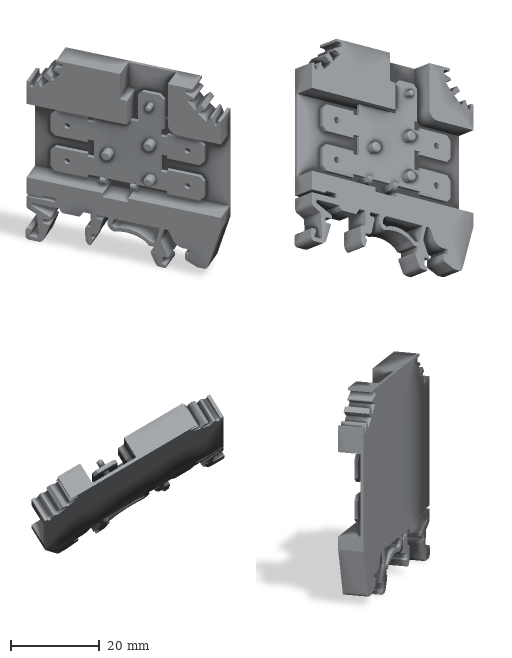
import cadquery as cq
import math

depth = 6.0
height = 49.55
half_width = 23.5
hook_reach = 23.75

wall = 0.7
wall_front = depth - wall
wall_middle = depth - wall / 2
rail_top = 16.6
block_bottom = 36.35
slot_left = 0.75
slot_right = 10.65
slot_relief_left = -0.9
slot_relief_bottom = 42.75
slot_relief_radius = 0.5
block_corner_radius = 2.35

notch_left = -5.05
notch_right = 1.05
notch_depth = 1.05
notch_radius = 0.35

plate_front = 2.2
plate_thickness = 0.9
plate_back = plate_front + plate_thickness
web_thickness = 0.75
web_back = plate_front + web_thickness
tab_width = 6.35
tab_corner = 1.05
tab_neck = 9.65
tab_reach = 18.55
tab_hole_x = 14.5
tab_hole_diameter = 1.5
tab_pitch = 9.45
right_tab_z = 21.75
left_tab_z = 21.65
shoulder = 0.75
web_half_width = 8.1
web_bottom = right_tab_z - tab_width / 2 + shoulder
upright_x = 5.75
upright_width = 6.2
upright_top = 44.55
upright_shoulder_z = 35.7
ledge_thickness = 0.7

pin_diameter = 2.5
pin_tip_radius = 0.55
small_pin_diameter = 1.5
small_pin_tip_radius = 0.4
small_pin_z = 41.5
flare = 0.5
upper_pin_z = 31.25
side_pin_x = -4.4
side_pin_z = 26.45

left_lip = 16.35
right_lip = 16.6

clip_width = 1.35
clip_lefts = (-6.3, notch_right)


def front_sketch(y):
    """Sketch plane parallel to the front face at the given Y."""
    return cq.Workplane("XZ", origin=(0, y, 0))


def prism(outline, length):
    """Extrude a front-plane outline backwards, towards +Y."""
    return outline.extrude(-length)


def box(x0, x1, y0, y1, z0, z1):
    return cq.Workplane("XY").box(x1 - x0, y1 - y0, z1 - z0, centered=False).translate((x0, y0, z0))


def upper_half(side, lip):
    """Upper body on one side (-1 left, +1 right) with its stepped marker rack."""

    def p(u, z):
        return (side * u, z)

    outline = (
        front_sketch(0)
        .moveTo(0, rail_top)
        .lineTo(*p(half_width, rail_top))
        .lineTo(*p(half_width, 42.4))
        .lineTo(*p(22.7, 42.4))
        .lineTo(*p(22.7, 41.5))
        .threePointArc(p(22.3, 41.0), p(21.8, 41.3))
        .lineTo(*p(21.3, 42.65))
        .threePointArc(p(20.95, 42.95), p(20.65, 42.65))
        .lineTo(*p(20.65, 42.3))
        .lineTo(*p(19.9, 41.55))
        .lineTo(*p(18.0, 43.25))
        .threePointArc(p(17.95, 43.6), p(18.3, 43.7))
        .lineTo(*p(19.6, 44.75))
        .lineTo(*p(18.7, 45.8))
        .lineTo(*p(17.5, 44.6))
        .threePointArc(p(17.5, 44.2), p(17.0, 44.2))
        .lineTo(*p(15.4, 45.95))
        .lineTo(*p(16.15, 46.65))
        .lineTo(*p(16.7, 46.65))
        .threePointArc(p(16.95, 47.0), p(16.65, 47.35))
        .lineTo(*p(15.15, 47.87))
        .threePointArc(p(14.8, 48.4), p(15.2, 48.95))
        .lineTo(*p(lip, 48.95))
        .lineTo(*p(lip, height))
        .lineTo(0, height)
        .close()
    )
    return prism(outline, depth)


def lower_body():
    """Lower block with the flexing slot on the left and the heel on the right."""
    outline = (
        front_sketch(0)
        .moveTo(-half_width, rail_top)
        .lineTo(-half_width, 12.2)
        .lineTo(-19.6, 12.2)
        .lineTo(-19.3, 12.7)
        .lineTo(-16.9, 12.7)
        .threePointArc((-16.3, 12.1), (-16.9, 11.5))
        .lineTo(-half_width, 11.5)
        .lineTo(-half_width, 10.05)
        .lineTo(-15.45, 10.05)
        .lineTo(-15.3, 9.5)
        .lineTo(-14.85, 9.0)
        .lineTo(-10.6, 9.0)
        .lineTo(-9.7, 10.4)
        .lineTo(10.65, 10.4)
        .lineTo(11.15, 9.7)
        .lineTo(11.95, 7.95)
        .threePointArc((13.0, 6.8), (14.35, 6.35))
        .lineTo(15.85, 6.35)
        .lineTo(15.85, 5.1)
        .lineTo(14.75, 5.1)
        .lineTo(14.75, 3.85)
        .threePointArc((14.95, 3.35), (15.4, 3.05))
        .lineTo(17.8, 2.05)
        .lineTo(19.45, 2.05)
        .threePointArc((19.95, 2.25), (20.25, 2.65))
        .lineTo(half_width, 13.55)
        .lineTo(half_width, rail_top)
        .close()
    )
    return prism(outline, depth)


def latch_foot():
    """Left foot: spring arm, rail jaw and a release hook with a closed back."""
    outline = (
        front_sketch(0)
        .moveTo(-half_width, 10.65)
        .lineTo(-half_width, 9.15)
        .threePointArc((-23.35, 8.5), (-22.85, 8.15))
        .lineTo(-21.35, 7.4)
        .threePointArc((-21.1, 7.25), (-20.95, 7.0))
        .lineTo(-20.6, 2.95)
        .lineTo(-20.55, 1.7)
        .threePointArc((-20.6, 1.2), (-21.05, 1.0))
        .lineTo(-22.45, 1.0)
        .threePointArc((-22.7, 1.15), (-22.7, 1.45))
        .lineTo(-22.35, 2.2)
        .lineTo(-22.35, 2.7)
        .lineTo(-22.65, 2.95)
        .lineTo(-23.5, 2.95)
        .lineTo(-hook_reach, 2.45)
        .lineTo(-hook_reach, 0.95)
        .threePointArc((-23.5, 0.3), (-22.9, 0))
        .lineTo(-20.5, 0)
        .threePointArc((-19.75, 0.3), (-19.35, 1.0))
        .lineTo(-17.95, 4.85)
        .lineTo(-17.95, 5.1)
        .lineTo(-19.3, 5.1)
        .lineTo(-19.6, 5.4)
        .lineTo(-19.6, 6.35)
        .lineTo(-17.7, 6.55)
        .lineTo(-17.7, 7.2)
        .lineTo(-22.25, 9.25)
        .lineTo(-22.25, 10.65)
        .close()
    )
    back_web = box(-23.05, -20.05, wall_front, depth, 0.5, 2.95)
    return prism(outline, depth).union(back_web)


def guide_foot():
    """Straight foot with a barbed tip."""
    outline = (
        front_sketch(0)
        .moveTo(-8.0, 10.9)
        .lineTo(-8.0, 6.8)
        .lineTo(-8.6, 6.8)
        .threePointArc((-9.15, 6.55), (-9.35, 6.05))
        .lineTo(-9.25, 3.6)
        .threePointArc((-9.0, 2.6), (-8.43, 1.95))
        .lineTo(-8.05, 1.95)
        .lineTo(-7.45, 3.55)
        .lineTo(-7.9, 3.9)
        .lineTo(-7.9, 5.1)
        .lineTo(-6.95, 5.1)
        .threePointArc((-6.4, 5.3), (-6.15, 5.7))
        .lineTo(-5.3, 8.9)
        .threePointArc((-5.4, 9.3), (-5.75, 9.45))
        .lineTo(-6.25, 9.45)
        .threePointArc((-6.65, 9.9), (-6.25, 10.4))
        .lineTo(-6.25, 10.9)
        .close()
    )
    return prism(outline, depth)


def spring_foot():
    """Curved spring bridge ending in a double-barbed foot, with a window above it."""
    outline = (
        front_sketch(0)
        .moveTo(-3.75, 10.9)
        .lineTo(-3.75, 10.15)
        .lineTo(-3.9, 9.15)
        .threePointArc((-3.5, 7.7), (-2.25, 7.0))
        .threePointArc((1.1, 7.4), (5.15, 6.1))
        .lineTo(6.15, 5.1)
        .lineTo(7.25, 5.1)
        .lineTo(7.25, 3.9)
        .lineTo(6.5, 3.6)
        .lineTo(6.6, 2.95)
        .lineTo(7.8, 0.5)
        .lineTo(8.15, 0.15)
        .lineTo(9.3, 0)
        .lineTo(10.1, 0)
        .lineTo(10.1, 0.8)
        .lineTo(9.2, 1.15)
        .lineTo(9.2, 2.95)
        .lineTo(10.7, 2.95)
        .lineTo(8.85, 6.95)
        .lineTo(9.0, 8.05)
        .lineTo(9.7, 10.25)
        .lineTo(9.95, 10.4)
        .lineTo(9.95, 10.9)
        .close()
    )
    window = (
        front_sketch(0)
        .moveTo(-1.9, 10.4)
        .lineTo(8.7, 10.4)
        .lineTo(7.8, 6.8)
        .lineTo(7.25, 6.2)
        .lineTo(6.55, 6.2)
        .lineTo(4.3, 7.6)
        .threePointArc((1.2, 8.43), (-1.95, 7.95))
        .lineTo(-2.82, 8.43)
        .lineTo(-2.82, 9.35)
        .threePointArc((-2.5, 9.95), (-1.9, 10.4))
        .close()
    )
    return prism(outline, depth).cut(prism(window, depth))


def front_recess():
    """Open space in front of the back wall, with the slot that rises to the top."""
    clearance = 0.5
    beyond = half_width + clearance
    above = height + clearance
    corner = block_corner_radius * (1 - math.sqrt(0.5))
    relief = slot_relief_radius * (1 - math.sqrt(0.5))
    outline = (
        front_sketch(0)
        .moveTo(-beyond, rail_top)
        .lineTo(beyond, rail_top)
        .lineTo(beyond, block_bottom)
        .lineTo(slot_right + block_corner_radius, block_bottom)
        .threePointArc(
            (slot_right + corner, block_bottom + corner),
            (slot_right, block_bottom + block_corner_radius),
        )
        .lineTo(slot_right, above)
        .lineTo(slot_relief_left, above)
        .lineTo(slot_relief_left, slot_relief_bottom + slot_relief_radius)
        .threePointArc(
            (slot_relief_left + relief, slot_relief_bottom + relief),
            (slot_relief_left + slot_relief_radius, slot_relief_bottom),
        )
        .lineTo(slot_left - slot_relief_radius, slot_relief_bottom)
        .threePointArc(
            (slot_left - relief, slot_relief_bottom - relief),
            (slot_left, slot_relief_bottom - slot_relief_radius),
        )
        .lineTo(slot_left, block_bottom)
        .lineTo(-beyond, block_bottom)
        .close()
    )
    return prism(outline, wall_front)


def rail_notch():
    notch = box(notch_left, notch_right, 0, wall_front, rail_top - notch_depth, rail_top)
    return notch.edges("|Y and <Z").fillet(notch_radius)


def side_tab(side, z):
    """Blade tab (side -1 left, +1 right) with chamfered outer corners and a small hole."""
    tip = side * tab_reach
    neck_line = side * tab_neck
    web_edge = side * web_half_width
    half = tab_width / 2
    neck_half = half - shoulder
    neck_bottom = max(z - neck_half, web_bottom)
    blade = box(min(tip, neck_line), max(tip, neck_line), plate_front, plate_back, z - half, z + half)
    blade = blade.faces("<X" if side < 0 else ">X").edges("|Y").chamfer(tab_corner)
    neck = box(
        min(web_edge, neck_line), max(web_edge, neck_line),
        plate_front, plate_back,
        neck_bottom, z + neck_half,
    )
    hole = prism(
        front_sketch(plate_front).center(side * tab_hole_x, z).circle(tab_hole_diameter / 2),
        plate_thickness,
    )
    return blade.union(neck).cut(hole)


def contact_plate():
    """Flat plate with four side tabs and one upright tab."""
    upright_left = upright_x - upright_width / 2
    upright_right = upright_x + upright_width / 2
    thin_web = box(-web_half_width, slot_left, plate_front, web_back, web_bottom, block_bottom)
    thick_web = box(slot_left, web_half_width, plate_front, plate_back, web_bottom, block_bottom)
    upright = box(upright_left, upright_right, plate_front, plate_back, upright_shoulder_z, upright_top)
    upright = upright.faces(">Z").edges("|Y").chamfer(tab_corner)
    plate = thin_web.union(thick_web).union(upright)
    for level in range(2):
        plate = plate.union(side_tab(-1, left_tab_z + level * tab_pitch))
        plate = plate.union(side_tab(1, right_tab_z + level * tab_pitch))
    return plate


def tab_ledge():
    """Ledge from the back wall that backs up the root of the upright tab."""
    half = upright_width / 2
    return box(
        upright_x - half, upright_x + half,
        plate_back, depth,
        block_bottom, block_bottom + ledge_thickness,
    )


def pin(x, z, diameter, tip_radius):
    """Round pin from the back wall to the front face with a rounded tip."""
    body = prism(front_sketch(0).center(x, z).circle(diameter / 2), wall_middle)
    return body.faces("<Y").edges().fillet(tip_radius)


def pin_flare(x, z, y, toward):
    """Concave collar around a pin, widest at Y = y and fading out along Y (toward is -1 or +1)."""
    radius = pin_diameter / 2
    bend = flare * (1 - math.sqrt(0.5))
    profile = (
        cq.Workplane("XY")
        .moveTo(0, 0)
        .lineTo(radius + flare, 0)
        .threePointArc((radius + bend, toward * bend), (radius, toward * flare))
        .lineTo(0, toward * flare)
        .close()
    )
    return profile.revolve(360, (0, 0, 0), (0, 1, 0)).translate((x, y, z))


def clip(left):
    """Snap clip: slanted stem from the back wall with a rounded nose over the plate edge."""
    outline = (
        cq.Workplane("YZ", origin=(left, 0, 0))
        .moveTo(wall_middle, 17.35)
        .lineTo(wall_front, 17.35)
        .lineTo(2.0, 17.95)
        .threePointArc((1.35, 18.35), (1.1, 19.05))
        .threePointArc((1.25, 19.5), (1.6, 19.72))
        .lineTo(plate_front, web_bottom)
        .lineTo(wall_middle, web_bottom)
        .close()
    )
    return outline.extrude(clip_width)


def housing():
    body = upper_half(-1, left_lip).union(upper_half(1, right_lip)).union(lower_body())
    for foot in (latch_foot(), guide_foot(), spring_foot()):
        body = body.union(foot)
    return body.cut(front_recess()).cut(rail_notch())


result = housing().union(contact_plate()).union(tab_ledge())
for pin_x, pin_z in ((upright_x, right_tab_z), (upright_x, upper_pin_z), (side_pin_x, side_pin_z)):
    result = result.union(pin(pin_x, pin_z, pin_diameter, pin_tip_radius))
result = result.union(pin(upright_x, small_pin_z, small_pin_diameter, small_pin_tip_radius))
result = result.union(pin_flare(upright_x, upper_pin_z, wall_front, -1))
result = result.union(pin_flare(side_pin_x, side_pin_z, web_back, 1))
for clip_left in clip_lefts:
    result = result.union(clip(clip_left))